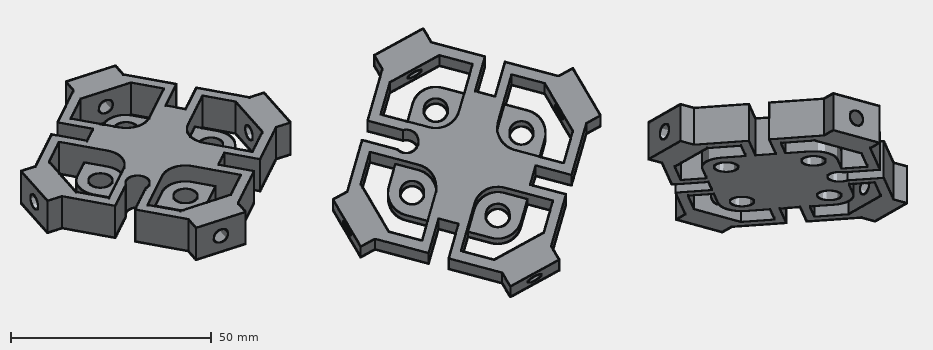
import cadquery as cq
import math

overall_size = 58.5
height = 10.0
frame_size = 52.7
slot_width = 5.15
pocket_inner = 5.05
pocket_outer = 23.6
round_radius = 6.0
hole_diameter = 6.0
tab_height = 5.05
block_width = 14.05
block_inner = 26.3
radial_hole_diameter = 4.0
notch_offset = 15.6

hole_offset = pocket_inner + round_radius
plate_size = 2 * (hole_offset + round_radius)
block_outer = overall_size / math.sqrt(2) - block_width / 2
block_length = block_outer - block_inner
block_middle = (block_outer + block_inner) / 2
slot_depth = (frame_size - plate_size) / 2
slot_middle = (frame_size + plate_size) / 4
pocket_bevel = block_inner * math.sqrt(2) - pocket_outer
arc_middle = hole_offset - round_radius / math.sqrt(2)
quarter_turns = (0, 90, 180, 270)
axis_origin = (0, 0, 0)
axis_top = (0, 0, 1)


def turned(body, angle):
    return body.rotate(axis_origin, axis_top, angle)


def diagonal_block():
    block = cq.Workplane("XY").box(block_length, block_width, height, centered=(True, True, False))
    return block.translate((block_middle, 0, 0))


def corner_trim():
    """Material outside the diagonal block, beyond its outer face."""
    trim = cq.Workplane("XY").box(frame_size, frame_size, height, centered=(False, True, False))
    return trim.translate((block_outer, 0, 0))


def pocket():
    """Opening with a bevelled outer corner and a rounded inner corner."""
    return (
        cq.Workplane("XY")
        .moveTo(pocket_inner, hole_offset)
        .lineTo(pocket_inner, pocket_outer)
        .lineTo(pocket_bevel, pocket_outer)
        .lineTo(pocket_outer, pocket_bevel)
        .lineTo(pocket_outer, pocket_inner)
        .lineTo(hole_offset, pocket_inner)
        .threePointArc((arc_middle, arc_middle), (pocket_inner, hole_offset))
        .close()
        .extrude(height)
    )


def side_slot():
    slot = cq.Workplane("XY").box(slot_depth, slot_width, height, centered=(True, True, False))
    return slot.translate((slot_middle, 0, 0))


def radial_hole():
    return (
        cq.Workplane("YZ", origin=(block_inner, 0, height / 2))
        .circle(radial_hole_diameter / 2)
        .extrude(block_length)
    )


body = cq.Workplane("XY").rect(frame_size, frame_size).extrude(height)
for angle in quarter_turns:
    diagonal = angle + 45
    body = body.cut(turned(corner_trim(), diagonal))
    body = body.union(turned(diagonal_block(), diagonal))
    body = body.cut(turned(pocket(), angle))
    body = body.cut(turned(side_slot(), angle))
    body = body.cut(turned(radial_hole(), diagonal))

base_plate = (
    cq.Workplane("XY")
    .rect(plate_size, plate_size)
    .extrude(tab_height)
    .edges("|Z")
    .fillet(round_radius)
)
body = body.union(base_plate)

mounting_holes = (
    cq.Workplane("XY")
    .rect(2 * hole_offset, 2 * hole_offset, forConstruction=True)
    .vertices()
    .circle(hole_diameter / 2)
    .extrude(height)
)
body = body.cut(mounting_holes)

notch_length = frame_size / 2 - notch_offset
notch = cq.Workplane("XY").center(0, -notch_offset).circle(hole_diameter / 2).extrude(height)
notch_channel = (
    cq.Workplane("XY")
    .center(0, -notch_offset - notch_length / 2)
    .rect(slot_width, notch_length)
    .extrude(height)
)
result = body.cut(notch).cut(notch_channel)